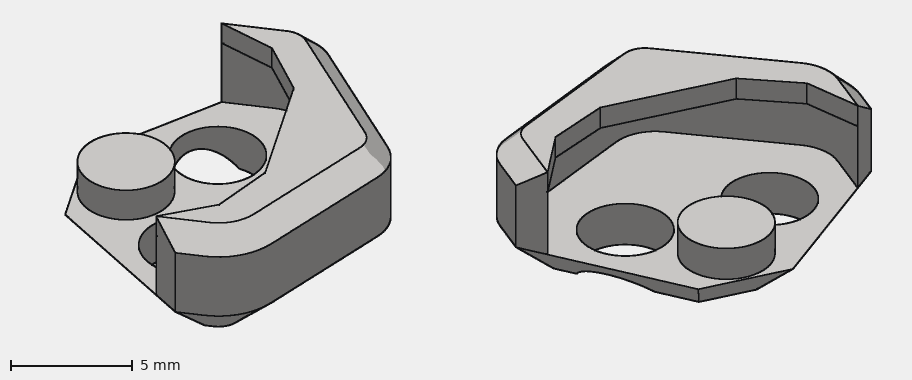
import cadquery as cq
import math

base_height = 2.0
pin_top = 3.5
cavity_top = 5.0
total_height = 6.0

half_width = 7.85
shoulder_y = 3.3
roof_angle = 32.0
side_bottom_y = 0.42
front_y = -5.34
right_shoulder_radius = 3.0
corner_radius = 2.03

wall = 1.0
top_bevel = 1.0
underside_bevel = base_height
cavity_radius = 2.0
round_diameter = 4.0
hole_spacing = 6.38
pin_y = -3.2

lip_half_flat = 3.0
lip_flat_y = 3.22
lip_half_bend = 5.55
lip_bend_y = 1.8

part_rotation = -40.0

roof_slope = math.tan(math.radians(roof_angle))
apex_y = shoulder_y + half_width * roof_slope
front_half_width = half_width - (side_bottom_y - front_y)
inner_half_width = half_width - wall
inner_apex_y = apex_y - wall / math.cos(math.radians(roof_angle))
inner_shoulder_y = inner_apex_y - inner_half_width * roof_slope
lip_end_y = side_bottom_y - wall
opening_y = front_y - wall


def mirrored_prism(right_side, bottom, top):
    """Extrude a symmetric outline given by its right-hand points, front to back."""
    left_side = [(-x, y) for x, y in reversed(right_side) if x > 0]
    outline = cq.Workplane("XY").workplane(offset=bottom).polyline(right_side + left_side).close()
    return outline.extrude(top - bottom)


def upright_edge_at(body, x, y):
    """The upright edge of a prism standing at (x, y)."""
    tolerance = 0.01
    around_corner = cq.selectors.BoxSelector(
        (x - tolerance, y - tolerance, 0),
        (x + tolerance, y + tolerance, total_height),
    )
    return body.edges("|Z").edges(around_corner)


def make_body():
    body = mirrored_prism(
        [
            (front_half_width, front_y),
            (half_width, side_bottom_y),
            (half_width, shoulder_y),
            (0, apex_y),
        ],
        0,
        total_height,
    )
    body = upright_edge_at(body, half_width, shoulder_y).fillet(right_shoulder_radius)
    body = upright_edge_at(body, -half_width, shoulder_y).fillet(corner_radius)
    body = upright_edge_at(body, 0, apex_y).fillet(corner_radius)
    body = body.faces("<Z").edges().chamfer(underside_bevel)
    wall_edges = cq.selectors.BoxSelector(
        (-half_width - wall, side_bottom_y, cavity_top),
        (half_width + wall, apex_y, total_height + wall),
    )
    return body.faces(">Z").edges(wall_edges).chamfer(top_bevel)


def make_cavity():
    cavity = mirrored_prism(
        [(inner_half_width, opening_y), (inner_half_width, inner_shoulder_y), (0, inner_apex_y)],
        base_height,
        cavity_top,
    )
    for x in (-inner_half_width, inner_half_width):
        cavity = upright_edge_at(cavity, x, inner_shoulder_y).fillet(cavity_radius)
    return upright_edge_at(cavity, 0, inner_apex_y).fillet(cavity_radius)


def make_lip_opening():
    return mirrored_prism(
        [
            (inner_half_width, opening_y),
            (inner_half_width, lip_end_y),
            (lip_half_bend, lip_bend_y),
            (lip_half_flat, lip_flat_y),
        ],
        cavity_top,
        total_height,
    )


def make_holes():
    centers = [(-hole_spacing / 2, 0), (hole_spacing / 2, 0)]
    return cq.Workplane("XY").pushPoints(centers).circle(round_diameter / 2).extrude(base_height)


def make_pin():
    pin_plane = cq.Workplane("XY").workplane(offset=base_height)
    return pin_plane.center(0, pin_y).circle(round_diameter / 2).extrude(pin_top - base_height)


part = make_body().cut(make_cavity()).cut(make_lip_opening()).cut(make_holes()).union(make_pin())
result = part.rotate((0, 0, 0), (0, 0, 1), part_rotation)